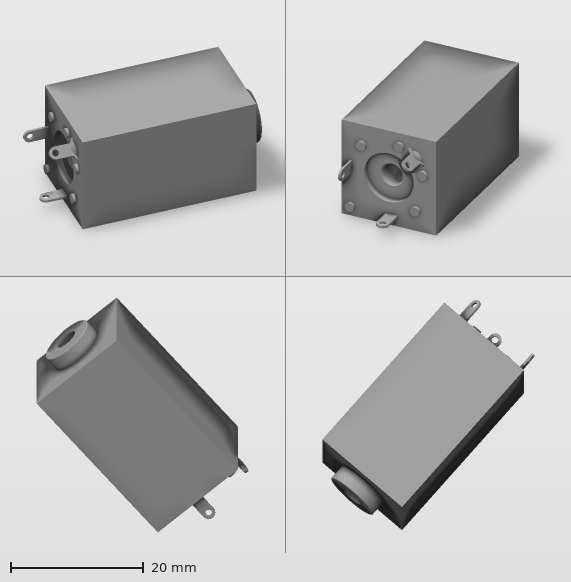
import cadquery as cq


body_width = 15.9
body_height = 16.03
body_length = 28.0
bushing_diameter = 8.3
bushing_length = 2.42
bushing_fillet = 0.17
overall_length = 34.55

recess_depth = 1.05
bore_diameter = 3.45
bore_chamfer = 0.17

peg_diameter = 1.52
peg_height = 0.52
peg_root = 0.35
peg_side = 4.53
peg_corner = -6.43
peg_near = 1.83
peg_far = 5.8
peg_centers = [
    (-peg_side, peg_side),
    (peg_side, -peg_side),
    (peg_near, peg_far),
    (peg_far, peg_near),
    (peg_corner, peg_corner),
]

tab_width = 2.0
tab_thickness = 0.38
tab_hole_diameter = 1.05
tab_root = 0.35
short_tab_length = 4.05
long_tab_length = overall_length - body_length - bushing_length
side_tab_distance = 6.35
side_tab_shift = 0.5
corner_tab_distance = 6.6
corner_tab_angle = 45.0

shoulder_radius = 2.5
shoulder_height = 0.75
bulge_radius = 1.7
bulge_center_distance = 6.08
bulge_center_depth = 1.0

front_blade_depth = 2.75
front_blade_thickness = 1.05
front_blade_left_edge = [(0.62, 1.9), (-0.85, -1.73)]
front_blade_right_edge = [(-0.2, -1.83), (0.97, -0.52), (1.7, 0.9)]
front_blade_bevel_width = 0.7
front_blade_bevel_depth = 0.85
rear_blade_depth = 14.15
rear_blade_thickness = 0.7
rear_blade_corners = [(-1.83, -0.35), (0.35, 0.83), (0.0, -0.07), (-1.65, -0.85)]


def solder_plane(y):
    """Plane across the jack at depth y; local x is X, local y is Z, extrusion goes to -Y."""
    return cq.Workplane("XZ", origin=(0, y, 0))


def make_housing():
    body = solder_plane(body_length).rect(body_width, body_height).extrude(body_length)
    bushing_end = body_length + bushing_length
    bushing = solder_plane(bushing_end).circle(bushing_diameter / 2).extrude(bushing_length)
    bushing = bushing.faces(">Y").edges().fillet(bushing_fillet)
    return body.union(bushing)


def make_bore():
    """Recess, chamfered mouth and through bore as one turned cutter."""
    bore_radius = bore_diameter / 2
    profile = [
        (0, 0),
        (bushing_diameter / 2, 0),
        (bushing_diameter / 2, recess_depth),
        (bore_radius + bore_chamfer, recess_depth),
        (bore_radius, recess_depth + bore_chamfer),
        (bore_radius, body_length + bushing_length),
        (0, body_length + bushing_length),
    ]
    return cq.Workplane("XY").polyline(profile).close().revolve(360, (0, 0, 0), (0, 1, 0))


def make_pegs():
    pegs = solder_plane(peg_root).pushPoints(peg_centers)
    return pegs.circle(peg_diameter / 2).extrude(peg_root + peg_height)


def make_tab(length):
    """Flat tab in the XY plane, centred on Z = 0, with a full-round drilled tip."""
    tip_radius = tab_width / 2
    tip_center = tip_radius - length
    return (
        cq.Workplane("XY", origin=(0, 0, -tab_thickness / 2))
        .moveTo(-tip_radius, tab_root)
        .lineTo(-tip_radius, tip_center)
        .threePointArc((0, -length), (tip_radius, tip_center))
        .lineTo(tip_radius, tab_root)
        .close()
        .moveTo(0, tip_center)
        .circle(tab_hole_diameter / 2)
        .extrude(tab_thickness)
    )


def turn_about_axis(shape, angle):
    return shape.rotate((0, 0, 0), (0, 1, 0), angle)


def make_bottom_tab():
    return make_tab(short_tab_length).translate((side_tab_shift, 0, -side_tab_distance))


def make_side_tab():
    tab = make_tab(short_tab_length).translate((-side_tab_shift, 0, -side_tab_distance))
    return turn_about_axis(tab, 90)


def make_corner_tab():
    """Tab, shoulder and spherical bulge built upright, then turned into the corner."""
    tab = make_tab(long_tab_length).translate((0, 0, corner_tab_distance))
    shoulder_center = (0, shoulder_radius - shoulder_height, corner_tab_distance)
    shoulder = cq.Workplane("XY").cylinder(tab_thickness, shoulder_radius)
    shoulder = shoulder.translate(shoulder_center)
    ball = cq.Workplane("XY").sphere(bulge_radius)
    ball = ball.translate((0, bulge_center_depth, bulge_center_distance))
    keep = cq.Workplane("XY", origin=(0, 0, corner_tab_distance))
    keep = keep.rect(4 * bulge_radius, 4 * bulge_radius).extrude(2 * bulge_radius)
    return turn_about_axis(tab.union(shoulder).union(ball.intersect(keep)), corner_tab_angle)


def make_front_blade():
    """Blade with one bowed edge and a long bevel falling away along its straight edge."""
    left_top, left_bottom = front_blade_left_edge
    right_start, right_middle, right_end = front_blade_right_edge
    blade = (
        solder_plane(front_blade_depth + front_blade_thickness)
        .polyline([left_top, left_bottom, right_start])
        .threePointArc(right_middle, right_end)
        .close()
        .extrude(front_blade_thickness)
    )
    straight_edge_middle = (
        (left_top[0] + left_bottom[0]) / 2,
        front_blade_depth,
        (left_top[1] + left_bottom[1]) / 2,
    )
    straight_edge = blade.edges(cq.NearestToPointSelector(straight_edge_middle))
    return straight_edge.chamfer(front_blade_bevel_depth, front_blade_bevel_width)


def make_rear_blade():
    blade = solder_plane(rear_blade_depth + rear_blade_thickness)
    return blade.polyline(rear_blade_corners).close().extrude(rear_blade_thickness)


result = make_housing().cut(make_bore())
for feature in (
    make_pegs(),
    make_bottom_tab(),
    make_side_tab(),
    make_corner_tab(),
    make_front_blade(),
    make_rear_blade(),
):
    result = result.union(feature)